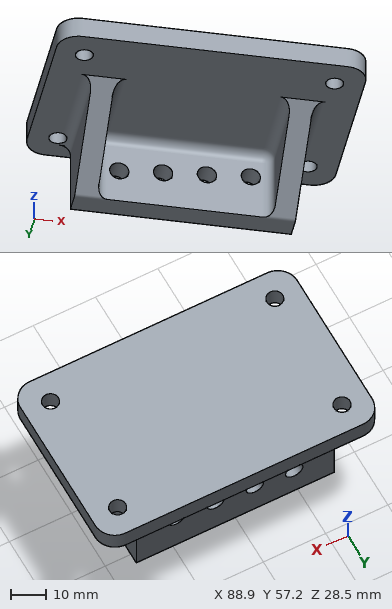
import cadquery as cq

plate_length = 88.9
plate_width = 57.2
plate_thickness = 6.4
corner_radius = 6.3
total_height = 28.5
plate_bottom = total_height - plate_thickness

plate_hole_diameter = 5.1
plate_hole_spacing_x = 72.0
plate_hole_spacing_y = 40.0

bracket_length = 63.6
rib_thickness = 6.4
back_offset = 5.3
bracket_back = plate_width / 2 - back_offset
bracket_top_depth = 34.1
bracket_bottom_depth = 6.4
wall_thickness = 6.4
blend_radius = 3.1
toe_radius = 1.8

wall_hole_diameter = 5.5
wall_hole_count = 4
wall_hole_pitch = 12.6
wall_hole_rise = 1.1
wall_hole_mean_height = 12.3


def make_plate():
    return (
        cq.Workplane("XY")
        .workplane(offset=plate_bottom)
        .rect(plate_length, plate_width)
        .extrude(plate_thickness)
        .edges("|Z")
        .fillet(corner_radius)
    )


def make_plate_holes():
    """Full-height drills, so they also clear the bracket's flared sides."""
    return (
        cq.Workplane("XY")
        .rect(plate_hole_spacing_x, plate_hole_spacing_y, forConstruction=True)
        .vertices()
        .circle(plate_hole_diameter / 2)
        .extrude(total_height)
    )


def make_side_profile():
    """Tapered silhouette of the bracket, with a rounded toe at the bottom front."""
    toe_y = bracket_back - bracket_bottom_depth
    return (
        cq.Workplane("YZ")
        .moveTo(bracket_back, 0)
        .lineTo(bracket_back, plate_bottom)
        .lineTo(bracket_back - bracket_top_depth, plate_bottom)
        .lineTo(toe_y, 0)
        .close()
        .extrude(bracket_length / 2 + blend_radius, both=True)
        .edges(cq.selectors.NearestToPointSelector((0, toe_y, 0)))
        .fillet(toe_radius)
    )


def make_flared_body():
    """Solid block whose sides flare out through concave arcs to meet the plate."""
    side = bracket_length / 2
    flare = side + blend_radius
    flare_start = plate_bottom - blend_radius
    return (
        cq.Workplane("XZ", origin=(0, bracket_back, 0))
        .moveTo(-side, 0)
        .lineTo(side, 0)
        .lineTo(side, flare_start)
        .radiusArc((flare, plate_bottom), blend_radius)
        .lineTo(-flare, plate_bottom)
        .radiusArc((-side, flare_start), blend_radius)
        .close()
        .extrude(bracket_top_depth)
    )


def make_pocket():
    """Open space between the ribs, rounded where it meets ribs, wall and plate."""
    pocket_length = bracket_length - 2 * rib_thickness
    pocket_back = bracket_back - wall_thickness
    return (
        cq.Workplane("XY")
        .center(0, pocket_back - bracket_top_depth / 2)
        .rect(pocket_length, bracket_top_depth)
        .extrude(plate_bottom)
        .edges("(|Z and >Y) or (>Z and (not <Y))")
        .fillet(blend_radius)
    )


def make_wall_holes():
    middle = (wall_hole_count - 1) / 2
    centres = [
        ((i - middle) * wall_hole_pitch, wall_hole_mean_height + (i - middle) * wall_hole_rise)
        for i in range(wall_hole_count)
    ]
    return (
        cq.Workplane("XZ", origin=(0, bracket_back, 0))
        .pushPoints(centres)
        .circle(wall_hole_diameter / 2)
        .extrude(wall_thickness)
    )


bracket = make_flared_body().intersect(make_side_profile()).cut(make_pocket()).cut(make_wall_holes())
result = make_plate().union(bracket).cut(make_plate_holes())